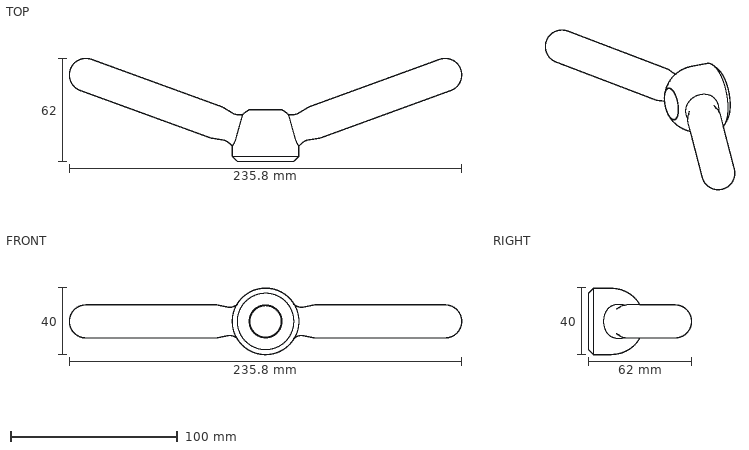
import cadquery as cq
import math

hub_radius = 20.0
hub_length = 31.1
dome_start = 13.7
foot_chamfer = 3.0
bore_radius = 9.5
bore_chamfer = 0.5

span = 235.8
depth = 62.0
arm_diameter = 20.0
arm_radius = arm_diameter / 2
arm_angle = 20.0
neck_radius = 8.5
arm_shoulder = 31.4
neck_end = 23.3
flare_end = 18.6
flare_radius = 9.7
flare_root = 16.5
flare_root_radius = 10.8

angle = math.radians(arm_angle)
tip_x = span / 2 - arm_radius
tip_y = depth - arm_radius
root_y = tip_y - tip_x * math.tan(angle)
tip_distance = tip_x / math.cos(angle)


def make_hub():
    dome_height = hub_length - dome_start
    top_radius = math.sqrt(hub_radius**2 - dome_height**2)
    mid_angle = math.asin(dome_height / hub_radius) / 2
    dome_middle = (
        hub_radius * math.cos(mid_angle),
        dome_start + hub_radius * math.sin(mid_angle),
    )
    return (
        cq.Workplane("XY")
        .lineTo(hub_radius - foot_chamfer, 0)
        .lineTo(hub_radius, foot_chamfer)
        .lineTo(hub_radius, dome_start)
        .threePointArc(dome_middle, (top_radius, hub_length))
        .lineTo(0, hub_length)
        .close()
        .revolve(360, (0, 0, 0), (0, 1, 0))
    )


def make_arm():
    """Arm pointing along +X from its root, then swung back to its angle."""
    flare_length = neck_end - flare_end
    flare_rise = flare_radius - neck_radius
    arc_radius = (flare_length**2 + flare_rise**2) / (2 * flare_rise)
    half_sweep = math.asin(flare_length / arc_radius) / 2
    flare_middle = (
        neck_end - arc_radius * math.sin(half_sweep),
        neck_radius + arc_radius * (1 - math.cos(half_sweep)),
    )
    tip_middle = (
        tip_distance + arm_radius * math.cos(math.pi / 4),
        arm_radius * math.sin(math.pi / 4),
    )
    return (
        cq.Workplane("XY")
        .lineTo(0, neck_radius)
        .lineTo(flare_root, neck_radius)
        .lineTo(flare_root, flare_root_radius)
        .lineTo(flare_end, flare_radius)
        .threePointArc(flare_middle, (neck_end, neck_radius))
        .lineTo(arm_shoulder, arm_radius)
        .lineTo(tip_distance, arm_radius)
        .threePointArc(tip_middle, (tip_distance + arm_radius, 0))
        .close()
        .revolve(360, (0, 0, 0), (1, 0, 0))
        .rotate((0, 0, 0), (0, 0, 1), arm_angle)
        .translate((0, root_y, 0))
    )


def make_bore():
    mouth_radius = bore_radius + bore_chamfer
    return (
        cq.Workplane("XY")
        .lineTo(mouth_radius, 0)
        .lineTo(bore_radius, bore_chamfer)
        .lineTo(bore_radius, hub_length)
        .lineTo(0, hub_length)
        .close()
        .revolve(360, (0, 0, 0), (0, 1, 0))
    )


right_arm = make_arm()
left_arm = right_arm.mirror("YZ")
result = make_hub().union(right_arm).union(left_arm).cut(make_bore())